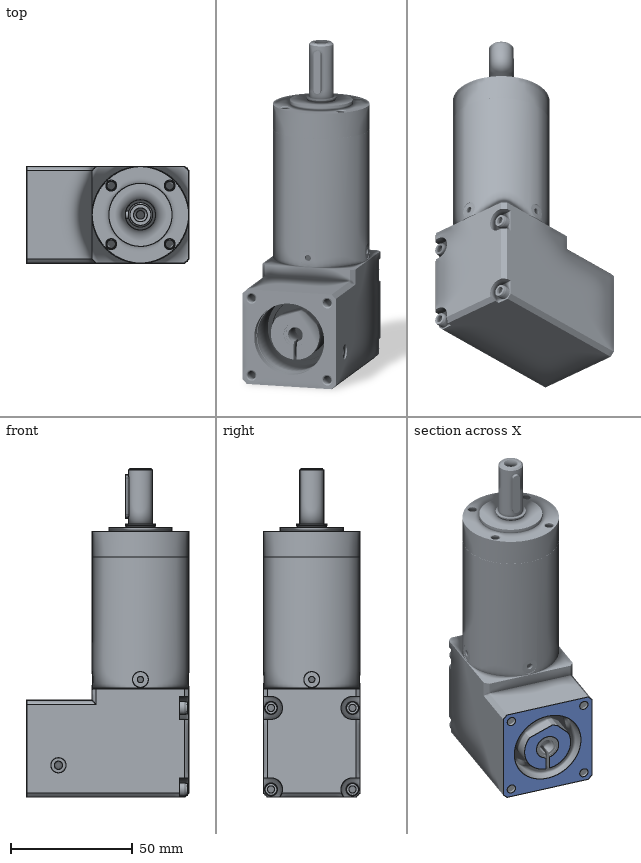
import cadquery as cq
import math

side = 40.0
total_length = 67.0
total_height = 135.5
edge_chamfer = 1.8

back_x = side / 2
motor_x = back_x - total_length
motor_axis_z = side / 2

housing_top = 44.6
neck_height = 0.4
neck_diameter = 39.4
body_bottom = housing_top + neck_height
flange_bottom = 99.0
flange_diameter = 39.8
body_top = 109.6
spigot_diameter = 26.0
spigot_top = 111.2
collar_diameter = 12.5
collar_root_diameter = 11.7
collar_taper_height = 0.8
collar_top = 112.6

shaft_diameter = 10.0
shaft_chamfer = 0.7
key_width = 3.0
key_length = 18.0
key_center_z = 124.0
key_outer_x = -6.2
center_mouth_diameter = 5.7
center_cone_angle = 60
center_bore_diameter = 3.5
center_bore_depth = 12.2

tapped_diameter = 3.5
tapped_mouth_diameter = 4.5
tapped_mouth_depth = 0.3
tapped_depth = 9.5
output_hole_offset = 12.0
motor_hole_offset = 16.3

pilot_diameter = 30.1
pilot_depth = 3.5
bore_diameter = 29.7
bore_depth = 19.1
hub_recess_diameter = 25.9
hub_recess_depth = 1.4
hub_face_depth = 8.5
hub_face_x = motor_x + hub_face_depth
hub_length = bore_depth + hub_recess_depth - hub_face_depth
hub_diameter = 20.9
hub_bore_diameter = 6.2
hub_bore_depth = 10.8
hub_mouth_diameter = 8.1
hub_mouth_depth = 0.5
hub_ring_diameter = 9.8
hub_ring_depth = 0.3
hub_slit_width = 1.4
hub_slit_depth = 6.8
hub_flats = ((70, 9.0), (134, 9.9))

access_x = motor_x + 13.1
access_z = 13.1
access_diameter = 6.2
access_depth = 0.8
access_socket_diameter = 3.4
access_socket_depth = 2.0

plug_z = 48.5
plug_diameter = 6.5
plug_flat_depth = 0.3
plug_socket_diameter = 2.6
plug_socket_depth = 1.4

screw_offset = 16.8
screw_pocket_width = 9.5
screw_pocket_depth = 3.9
screw_head_diameter = 5.3
screw_crown_diameter = 4.9
screw_head_height = 3.3
screw_crown_height = 1.0
screw_socket_diameter = 3.0
screw_socket_depth = 1.6


def cylinder(start, direction, diameter, length):
    """Round bar from a start point along a direction."""
    return cq.Workplane(cq.Solid.makeCylinder(diameter / 2, length, cq.Vector(*start), cq.Vector(*direction)))


def cone(start, direction, start_diameter, end_diameter, length):
    """Tapered bar from a start point along a direction."""
    return cq.Workplane(
        cq.Solid.makeCone(
            start_diameter / 2, end_diameter / 2, length, cq.Vector(*start), cq.Vector(*direction)
        )
    )


def square_pattern(offset):
    """The four corners of a centred square."""
    return [(a, b) for a in (-offset, offset) for b in (-offset, offset)]


def tapped_hole(start, direction):
    """Blind hole with a shallow countersunk mouth."""
    hole = cylinder(start, direction, tapped_diameter, tapped_depth)
    return hole.union(cone(start, direction, tapped_mouth_diameter, tapped_diameter, tapped_mouth_depth))


def make_housing():
    """Chamfered motor block with the taller block that carries the body."""
    block = (
        cq.Workplane("XY")
        .box(total_length, side, side, centered=(False, True, False))
        .translate((motor_x, 0, 0))
        .edges("|X or (>X and |Z) or (>X and <Z)")
        .chamfer(edge_chamfer)
    )
    tower = (
        cq.Workplane("XY")
        .rect(side, side)
        .extrude(housing_top - motor_axis_z)
        .edges("|Z")
        .chamfer(edge_chamfer)
        .translate((0, 0, motor_axis_z))
    )
    tower_cut = cq.Workplane("XY").box(side, side, side - edge_chamfer, centered=(False, True, False))
    tower = tower.cut(tower_cut.translate((-side, 0, 0)))
    return block.union(tower)


def make_output_stack():
    """Body, output flange, spigot, collar and shaft on the Z axis."""
    up = (0, 0, 1)
    taper_top = spigot_top + collar_taper_height
    shaft = cylinder((0, 0, collar_top), up, shaft_diameter, total_height - collar_top)
    stack = cylinder((0, 0, housing_top), up, neck_diameter, neck_height)
    stack = stack.union(cylinder((0, 0, body_bottom), up, side, flange_bottom - body_bottom))
    stack = stack.union(cylinder((0, 0, flange_bottom), up, flange_diameter, body_top - flange_bottom))
    stack = stack.union(cylinder((0, 0, body_top), up, spigot_diameter, spigot_top - body_top))
    stack = stack.union(
        cone((0, 0, spigot_top), up, collar_root_diameter, collar_diameter, collar_taper_height)
    )
    stack = stack.union(cylinder((0, 0, taper_top), up, collar_diameter, collar_top - taper_top))
    return stack.union(shaft.faces(">Z").chamfer(shaft_chamfer))


def make_key():
    """Round-ended key on the -X side of the shaft."""
    key = cq.Workplane("YZ").center(0, key_center_z).slot2D(key_length, key_width, 90)
    return key.extrude(key_outer_x)


def make_hub():
    """Clamping hub with two flats, standing on the floor of its recess."""
    hub = cylinder((hub_face_x, 0, motor_axis_z), (1, 0, 0), hub_diameter, hub_length)
    for angle, distance in hub_flats:
        flat = (
            cq.Workplane("XY")
            .box(2 * hub_length, side, side)
            .translate((hub_face_x, distance + side / 2, 0))
            .rotate((0, 0, 0), (1, 0, 0), angle)
            .translate((0, 0, motor_axis_z))
        )
        hub = hub.cut(flat)
    return hub


def center_hole():
    """Coned centre hole in the shaft end."""
    down = (0, 0, -1)
    top = (0, 0, total_height)
    radius_drop = (center_mouth_diameter - center_bore_diameter) / 2
    mouth_depth = radius_drop / math.tan(math.radians(center_cone_angle / 2))
    hole = cylinder(top, down, center_bore_diameter, center_bore_depth)
    return hole.union(cone(top, down, center_mouth_diameter, center_bore_diameter, mouth_depth))


def motor_bore():
    """Pilot, bore and hub recess on the motor axis."""
    inward = (1, 0, 0)
    mouth = (motor_x, 0, motor_axis_z)
    bore = cylinder(mouth, inward, pilot_diameter, pilot_depth)
    bore = bore.union(cylinder(mouth, inward, bore_diameter, bore_depth))
    return bore.union(cylinder(mouth, inward, hub_recess_diameter, bore_depth + hub_recess_depth))


def hub_bore():
    """Motor shaft hole with a shallow stepped mouth and the clamping slit below it."""
    inward = (1, 0, 0)
    mouth = (hub_face_x, 0, motor_axis_z)
    hole = cylinder(mouth, inward, hub_bore_diameter, hub_bore_depth)
    hole = hole.union(cylinder(mouth, inward, hub_ring_diameter, hub_ring_depth))
    hole = hole.union(cylinder(mouth, inward, hub_mouth_diameter, hub_mouth_depth))
    slit = (
        cq.Workplane("XY")
        .box(hub_slit_depth, hub_slit_width, hub_diameter / 2, centered=(False, True, False))
        .translate((mouth[0], 0, motor_axis_z - hub_diameter / 2))
    )
    return hole.union(slit)


def access_hole():
    """Shallow counterbore with a round socket in the -Y side."""
    inward = (0, 1, 0)
    mouth = (access_x, -side / 2, access_z)
    hole = cylinder(mouth, inward, access_diameter, access_depth)
    return hole.union(cylinder(mouth, inward, access_socket_diameter, access_depth + access_socket_depth))


def plug_seats():
    """Flat screw plugs with a socket, a quarter turn apart round the body."""
    mouth = (side / 2, 0, plug_z)
    inward = (-1, 0, 0)
    seat = cylinder(mouth, inward, plug_diameter, plug_flat_depth)
    seat = seat.union(cylinder(mouth, inward, plug_socket_diameter, plug_flat_depth + plug_socket_depth))
    return [seat.rotate((0, 0, 0), (0, 0, 1), 90 * turn) for turn in range(4)]


def add_corner_screws(part):
    """Round-ended pockets open to the sides at the back corners, each holding a socket-head screw."""
    floor_x = back_x - screw_pocket_depth
    outward = (1, 0, 0)
    pocket_round = cylinder((floor_x, 0, 0), outward, screw_pocket_width, screw_pocket_depth)
    pocket_run = (
        cq.Workplane("XY")
        .box(screw_pocket_depth, side, screw_pocket_width, centered=(False, False, True))
        .translate((floor_x, 0, 0))
    )
    pocket = pocket_round.union(pocket_run)
    for y, z in square_pattern(screw_offset):
        base = (floor_x, y, motor_axis_z + z)
        head_end = (floor_x + screw_head_height, y, motor_axis_z + z)
        facing_pocket = pocket if y > 0 else pocket.mirror("XZ")
        part = part.cut(facing_pocket.translate((0, y, motor_axis_z + z)))
        crown_start = (head_end[0] - screw_crown_height, y, motor_axis_z + z)
        head = cylinder(base, outward, screw_head_diameter, screw_head_height - screw_crown_height)
        head = head.union(
            cone(crown_start, outward, screw_head_diameter, screw_crown_diameter, screw_crown_height)
        )
        socket = cylinder(head_end, (-1, 0, 0), screw_socket_diameter, screw_socket_depth)
        part = part.union(head.cut(socket))
    return part


part = make_housing().union(make_output_stack()).union(make_key())
part = part.cut(center_hole()).cut(motor_bore()).union(make_hub()).cut(hub_bore()).cut(access_hole())
for seat in plug_seats():
    part = part.cut(seat)
for x, y in square_pattern(output_hole_offset):
    part = part.cut(tapped_hole((x, y, body_top), (0, 0, -1)))
for y, z in square_pattern(motor_hole_offset):
    part = part.cut(tapped_hole((motor_x, y, motor_axis_z + z), (1, 0, 0)))

result = add_corner_screws(part)